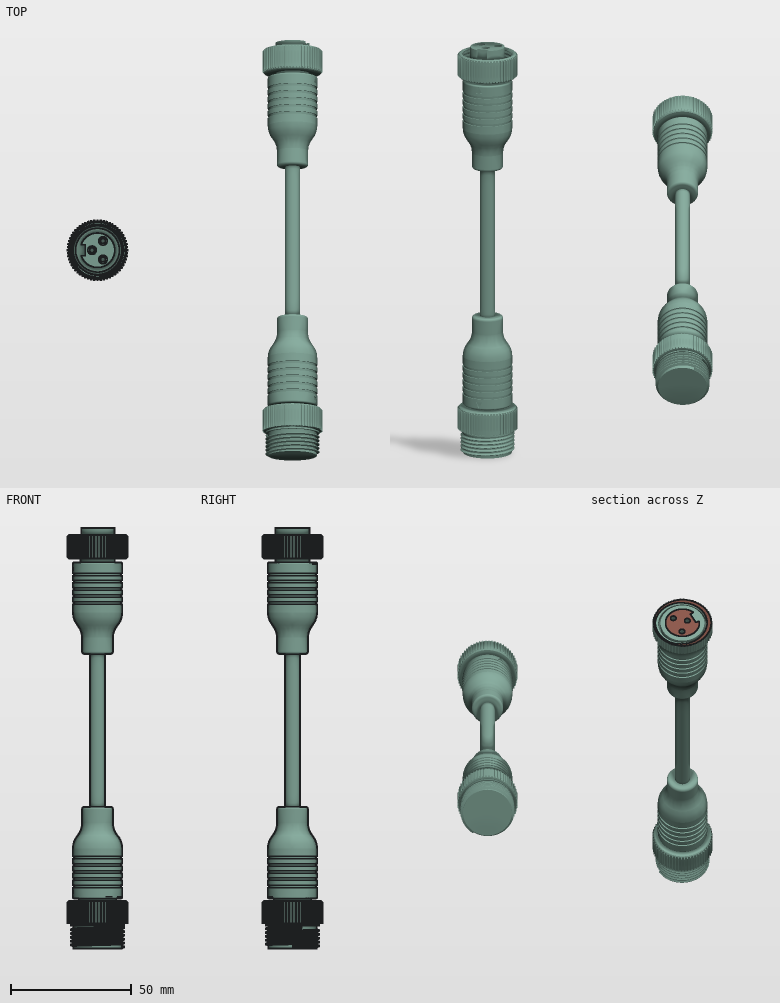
import cadquery as cq
import math

TOTAL_LENGTH = 174.4

GRIP_LENGTH = 38.0
GRIP_RADIUS = 10.3
GRIP_EDGE = 0.7
GROOVE_COUNT = 5
GROOVE_START = 4.5
GROOVE_PITCH = 3.0
GROOVE_WIDTH = 1.0
GROOVE_DEPTH = 0.5
SHOULDER_START = 20.8
SHOULDER_LENGTH = 10.5
BOOT_RADIUS = 6.5
BOOT_EDGE = 1.0
UPPER_GRIP_Z = 160.1
LOWER_GRIP_Z = 20.8
CABLE_RADIUS = 3.1

POINTER_BASE = 3.3
POINTER_HEIGHT = 2.8
POINTER_WIDTH = 2.8
POINTER_DEPTH = 0.3

INSERT_RADIUS = 7.2
FLANGE_RADIUS = 9.0
FLANGE_TOP_Z = 167.0
KEYWAY_WIDTH = 4.7
KEYWAY_FLOOR_X = -5.0
SOCKET_RADIUS = 1.0
SOCKET_MOUTH_RADIUS = 1.7
SOCKET_MOUTH_DEPTH = 0.5
SOCKET_DEPTH = 10.5
SOCKET_X = 2.3
SOCKET_Y = 3.8
SOCKET_POSITIONS = [(-SOCKET_X, 0), (SOCKET_X, SOCKET_Y), (SOCKET_X, -SOCKET_Y)]

RIB_DIAMETER = 25.0
RIB_RADIUS = RIB_DIAMETER / 2
RIB_COUNT = 60
RIB_HEIGHT = 0.5
RIB_WIDTH = 0.3
RIB_GAP = 2 * math.pi * RIB_RADIUS / RIB_COUNT - RIB_WIDTH
RING_EDGE = 0.9

NUT_TOP_Z = 171.6
NUT_BOTTOM_Z = 161.5
NUT_LIP = 2.6
NUT_MOUTH_EDGE = 0.7
COLLAR_TOP_Z = 19.9
COLLAR_BOTTOM_Z = 10.5
COLLAR_NECK_RADIUS = 7.8

THREAD_ROOT_RADIUS = 10.1
THREAD_CREST_RADIUS = 11.2
THREAD_SINK_RADIUS = 10.0
THREAD_PITCH = 1.59
THREAD_BASE = 1.2
THREAD_TIP = 0.26
MALE_THREAD_START_Z = 0.7
MALE_THREAD_LENGTH = 8.0
BEAD_BOTTOM_Z = 9.5
BEAD_TOP_Z = 10.0
FEMALE_THREAD_START_Z = 165.7
FEMALE_THREAD_LENGTH = 7.0


def cylinder(radius, bottom, top):
    return cq.Workplane("XY").workplane(offset=bottom).circle(radius).extrude(top - bottom)


def pointer():
    """Triangle on the -X side that points to the connector end at Z = 0."""
    return (
        cq.Workplane("YZ")
        .workplane(offset=-GRIP_RADIUS - 1.7)
        .polyline([
            (-POINTER_WIDTH / 2, POINTER_BASE),
            (POINTER_WIDTH / 2, POINTER_BASE),
            (0, POINTER_BASE - POINTER_HEIGHT),
        ])
        .close()
        .extrude(1.7 + POINTER_DEPTH)
    )


def grip():
    """Grip with its connector end at Z = 0 and its boot toward +Z."""
    shoulder_end = SHOULDER_START + SHOULDER_LENGTH
    middle = SHOULDER_START + SHOULDER_LENGTH / 2
    middle_radius = (GRIP_RADIUS + BOOT_RADIUS) / 2
    body = (
        cq.Workplane("XZ")
        .moveTo(0, 0)
        .lineTo(GRIP_RADIUS - GRIP_EDGE, 0)
        .tangentArcPoint((GRIP_RADIUS, GRIP_EDGE), relative=False)
        .lineTo(GRIP_RADIUS, SHOULDER_START)
        .tangentArcPoint((middle_radius, middle), relative=False)
        .tangentArcPoint((BOOT_RADIUS, shoulder_end), relative=False)
        .lineTo(BOOT_RADIUS, GRIP_LENGTH - BOOT_EDGE)
        .tangentArcPoint((BOOT_RADIUS - BOOT_EDGE, GRIP_LENGTH), relative=False)
        .lineTo(0, GRIP_LENGTH)
        .close()
        .revolve(360, (0, 0), (0, 1))
    )
    for index in range(GROOVE_COUNT):
        bottom = GROOVE_START + index * GROOVE_PITCH
        top = bottom + GROOVE_WIDTH
        groove = cylinder(GRIP_RADIUS + 1.7, bottom, top).cut(
            cylinder(GRIP_RADIUS - GROOVE_DEPTH, bottom, top)
        )
        body = body.cut(groove)
    return body.cut(pointer())


def rib_gaps(bottom, top):
    """Straight gaps that leave ribs between them, one rib on the +X axis."""
    return (
        cq.Workplane("XY")
        .workplane(offset=bottom)
        .polarArray(RIB_RADIUS, 180 / RIB_COUNT, 360, RIB_COUNT)
        .rect(2 * RIB_HEIGHT, RIB_GAP)
        .extrude(top - bottom)
    )


def thread_ridge(start, length):
    """Right-handed helical ridge that rises from the thread root to its crest."""
    path = cq.Wire.makeHelix(THREAD_PITCH, length, THREAD_ROOT_RADIUS, cq.Vector(0, 0, start))
    profile = (
        cq.Workplane("XZ")
        .polyline([
            (THREAD_SINK_RADIUS, start - THREAD_BASE / 2),
            (THREAD_CREST_RADIUS, start - THREAD_TIP / 2),
            (THREAD_CREST_RADIUS, start + THREAD_TIP / 2),
            (THREAD_SINK_RADIUS, start + THREAD_BASE / 2),
        ])
        .close()
    )
    return profile.sweep(cq.Workplane(path), isFrenet=True)


def threaded_rod(bottom, top, thread_start, thread_length):
    rod = cylinder(THREAD_ROOT_RADIUS, bottom, top)
    return rod.union(thread_ridge(thread_start, thread_length))


def socket_insert():
    insert = cylinder(INSERT_RADIUS, UPPER_GRIP_Z, TOTAL_LENGTH)
    keyway = cq.Workplane("XY").box(
        INSERT_RADIUS, KEYWAY_WIDTH, TOTAL_LENGTH - FLANGE_TOP_Z, centered=(False, True, False)
    ).translate((KEYWAY_FLOOR_X - INSERT_RADIUS, 0, FLANGE_TOP_Z))
    insert = insert.cut(keyway)
    insert = insert.union(cylinder(FLANGE_RADIUS, NUT_BOTTOM_Z + NUT_LIP, FLANGE_TOP_Z))
    return (
        insert.faces(">Z")
        .workplane(origin=(0, 0, TOTAL_LENGTH))
        .pushPoints(SOCKET_POSITIONS)
        .cboreHole(2 * SOCKET_RADIUS, 2 * SOCKET_MOUTH_RADIUS, SOCKET_MOUTH_DEPTH, SOCKET_DEPTH)
    )


def threaded_collar():
    collar = cylinder(RIB_RADIUS, COLLAR_BOTTOM_Z, COLLAR_TOP_Z)
    collar = collar.faces(">Z").edges().chamfer(RING_EDGE)
    collar = collar.cut(rib_gaps(COLLAR_BOTTOM_Z, COLLAR_TOP_Z))
    shaft = threaded_rod(0, COLLAR_BOTTOM_Z, MALE_THREAD_START_Z, MALE_THREAD_LENGTH)
    bead = cylinder(THREAD_CREST_RADIUS, BEAD_BOTTOM_Z, BEAD_TOP_Z)
    neck = cylinder(COLLAR_NECK_RADIUS, COLLAR_TOP_Z, LOWER_GRIP_Z)
    return collar.union(shaft).union(bead).union(neck)


def cable_assembly():
    upper_grip = grip().mirror("XY").translate((0, 0, UPPER_GRIP_Z))
    lower_grip = grip().translate((0, 0, LOWER_GRIP_Z))
    cable = cylinder(CABLE_RADIUS, LOWER_GRIP_Z + GRIP_LENGTH, UPPER_GRIP_Z - GRIP_LENGTH)
    return (
        cable.union(upper_grip)
        .union(lower_grip)
        .union(socket_insert())
        .union(threaded_collar())
    )


def coupling_nut():
    lip_top = NUT_BOTTOM_Z + NUT_LIP
    plug_top = NUT_TOP_Z + 2 * THREAD_PITCH
    plug = threaded_rod(lip_top, plug_top, FEMALE_THREAD_START_Z, FEMALE_THREAD_LENGTH)
    mouth_edge = cq.selectors.RadiusNthSelector(0)
    nut = cylinder(RIB_RADIUS, NUT_BOTTOM_Z, NUT_TOP_Z)
    nut = nut.faces("<Z or >Z").edges().chamfer(RING_EDGE)
    nut = nut.cut(cylinder(INSERT_RADIUS, NUT_BOTTOM_Z, lip_top))
    nut = nut.cut(cylinder(THREAD_ROOT_RADIUS, lip_top, NUT_TOP_Z))
    nut = nut.faces(">Z").edges(mouth_edge).chamfer(NUT_MOUTH_EDGE)
    nut = nut.cut(plug)
    return nut.cut(rib_gaps(NUT_BOTTOM_Z, NUT_TOP_Z), clean=False)


cordset = cable_assembly()
nut = coupling_nut()

result = cq.Compound.makeCompound([cordset.val(), nut.val()])